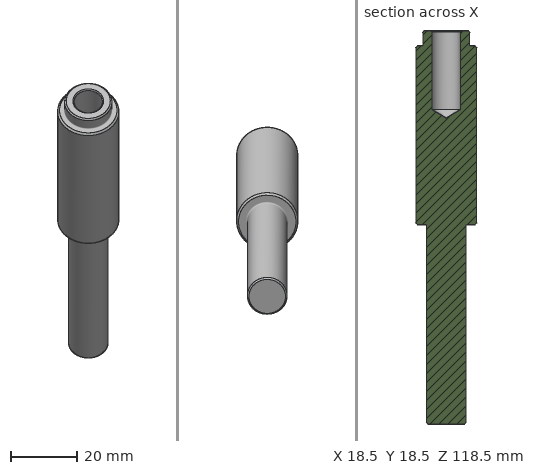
import cadquery as cq
import math

total_length = 118.5
shank_length = 60.1
neck_length = 4.5
body_top = total_length - neck_length

body_radius = 18.5 / 2
shank_radius = 12.0 / 2
neck_radius = 14.2 / 2

end_chamfer = 0.5
body_chamfer = 0.6
shank_fillet = 0.5
neck_fillet = 0.4

hole_radius = 8.5 / 2
hole_depth = 23.7
hole_chamfer = 0.4
drill_point_angle = 118.0


def root_arc_middle(radius, fillet, shoulder_z, direction):
    """Midpoint of the concave arc joining a cylinder to a body shoulder."""
    inset = fillet * (1 - math.sqrt(0.5))
    return (radius + inset, shoulder_z + direction * inset)


def turned_body():
    """Shank, body and neck revolved about Z from one half profile."""
    return (
        cq.Workplane("XZ")
        .moveTo(0, 0)
        .lineTo(shank_radius - end_chamfer, 0)
        .lineTo(shank_radius, end_chamfer)
        .lineTo(shank_radius, shank_length - shank_fillet)
        .threePointArc(
            root_arc_middle(shank_radius, shank_fillet, shank_length, -1),
            (shank_radius + shank_fillet, shank_length),
        )
        .lineTo(body_radius - body_chamfer, shank_length)
        .lineTo(body_radius, shank_length + body_chamfer)
        .lineTo(body_radius, body_top - body_chamfer)
        .lineTo(body_radius - body_chamfer, body_top)
        .lineTo(neck_radius + neck_fillet, body_top)
        .threePointArc(
            root_arc_middle(neck_radius, neck_fillet, body_top, 1),
            (neck_radius, body_top + neck_fillet),
        )
        .lineTo(neck_radius, total_length - end_chamfer)
        .lineTo(neck_radius - end_chamfer, total_length)
        .lineTo(0, total_length)
        .close()
        .revolve(360, (0, 0, 0), (0, 1, 0))
    )


def drilled_hole():
    """Straight hole with a conical drill point and a chamfered mouth at the top."""
    hole_floor = total_length - hole_depth
    point_depth = hole_radius / math.tan(math.radians(drill_point_angle / 2))
    return (
        cq.Workplane("XZ")
        .moveTo(0, hole_floor - point_depth)
        .lineTo(hole_radius, hole_floor)
        .lineTo(hole_radius, total_length - hole_chamfer)
        .lineTo(hole_radius + hole_chamfer, total_length)
        .lineTo(0, total_length)
        .close()
        .revolve(360, (0, 0, 0), (0, 1, 0))
    )


result = turned_body().cut(drilled_hole())